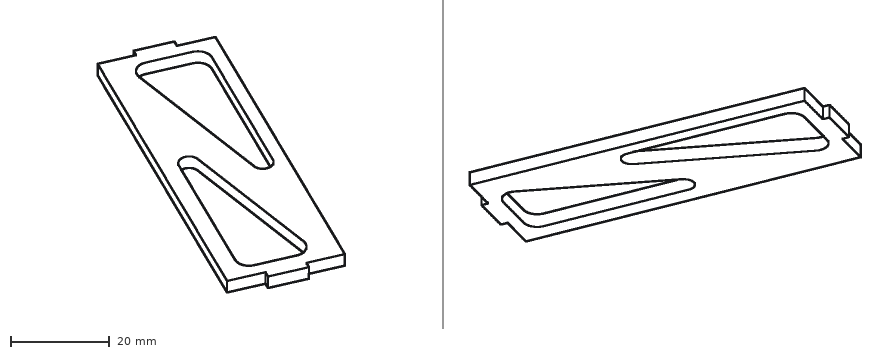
import cadquery as cq

length = 79.0
width = 25.5
thickness = 3.0

tab_projection = 1.5
tab_width = 8.85
body_length = length - 2 * tab_projection

end_rim = 3.0
top_rim = 3.0
bottom_rim = 3.95
diagonal_rise = 0.33
web_height = 7.9
corner_radius = 3.0
tip_radius = 2.2


def window(direction, rim):
    """Rounded window cutter; direction is -1 for the left one, +1 for the right one."""
    end_x = direction * (body_length / 2 - end_rim)
    straight_y = -direction * (width / 2 - rim)
    diagonal_offset = -direction * web_height / 2
    tip_x = (straight_y - diagonal_offset) / diagonal_rise
    diagonal_end_y = diagonal_rise * end_x + diagonal_offset
    cutter = (
        cq.Workplane("XY")
        .polyline([(end_x, straight_y), (tip_x, straight_y), (end_x, diagonal_end_y)])
        .close()
        .extrude(thickness)
    )
    end_side, tip_side = ("<X", ">X") if direction < 0 else (">X", "<X")
    cutter = cutter.edges("|Z").edges(end_side).fillet(corner_radius)
    return cutter.edges("|Z").edges(tip_side).fillet(tip_radius)


body = cq.Workplane("XY").box(body_length, width, thickness, centered=(True, True, False))
tabs = cq.Workplane("XY").box(length, tab_width, thickness, centered=(True, True, False))
result = body.union(tabs)

for direction, rim in ((-1, top_rim), (1, bottom_rim)):
    result = result.cut(window(direction, rim))